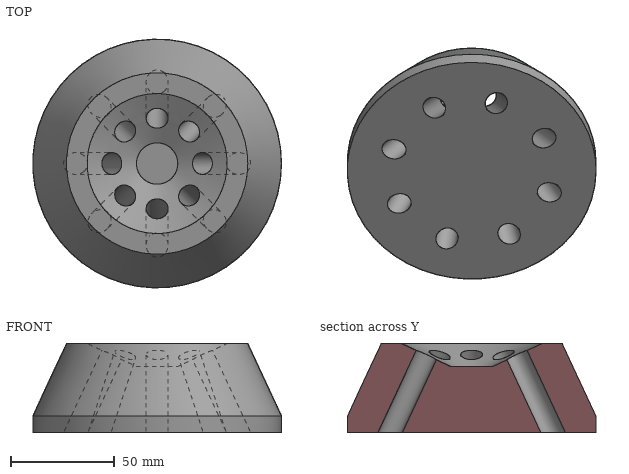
import cadquery as cq
import math

base_radius = 60.0
total_height = 43.0
rim_height = 8.0
wall_angle = 25.0

land_width = 10.0
floor_radius = 10.0
dish_angle = wall_angle

hole_count = 8
hole_diameter = 10.5

wall_slope = math.tan(math.radians(wall_angle))
dish_slope = math.tan(math.radians(dish_angle))
top_radius = base_radius - (total_height - rim_height) * wall_slope
dish_radius = top_radius - land_width
floor_height = total_height - (dish_radius - floor_radius) * dish_slope
hole_ring_radius = (dish_radius + floor_radius) / 2
hole_mouth_height = (total_height + floor_height) / 2


def make_body():
    """Revolve the short cylinder, tapered wall and dish as one profile."""
    profile = (
        cq.Workplane("XZ")
        .moveTo(0, 0)
        .lineTo(base_radius, 0)
        .lineTo(base_radius, rim_height)
        .lineTo(top_radius, total_height)
        .lineTo(dish_radius, total_height)
        .lineTo(floor_radius, floor_height)
        .lineTo(0, floor_height)
        .close()
    )
    return profile.revolve(360, (0, 0, 0), (0, 1, 0))


def make_hole_cutter():
    """Cylinder through the body, leaning outward as it goes down."""
    tilt = math.radians(dish_angle)
    downward = cq.Vector(math.sin(tilt), 0, -math.cos(tilt))
    mouth = cq.Vector(hole_ring_radius, 0, hole_mouth_height)
    start = mouth - downward * hole_diameter
    length = 2 * total_height
    return cq.Workplane(cq.Solid.makeCylinder(hole_diameter / 2, length, start, downward))


result = make_body()
hole_cutter = make_hole_cutter()
for index in range(hole_count):
    angle = index * 360 / hole_count
    result = result.cut(hole_cutter.rotate((0, 0, 0), (0, 0, 1), angle))